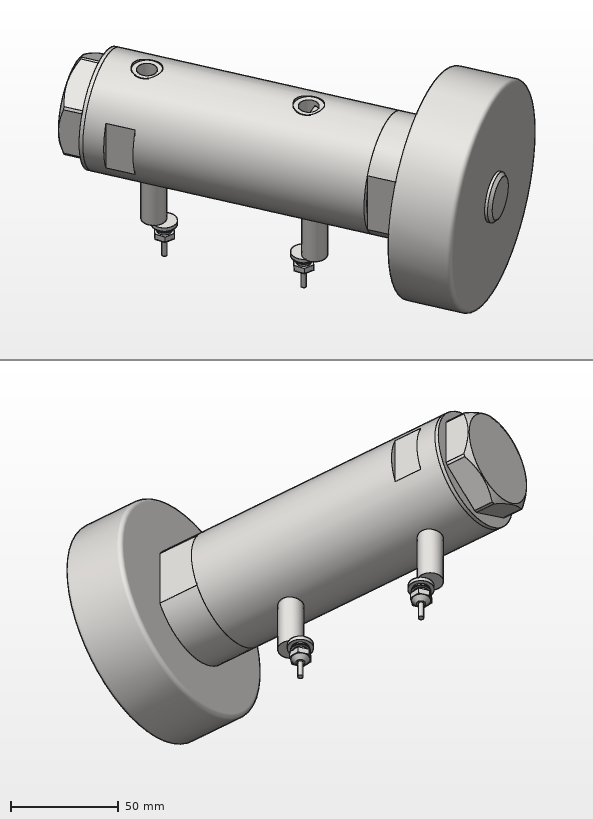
import cadquery as cq
import math


barrel_radius = 29.5
bore_radius = 19.9
overall_length = 211.2
overall_height = 132.6

hex_length = 12.9
hex_across_flats = 46.5
hex_corner_radius = 26.5
hex_face_radius = 22.8
hex_chamfer_length = 2.7
collar_length = 2.0
plug_boss_end = 38.5

housing_start = hex_length + collar_length
housing_end = 154.5
wrench_flat_start = 25.1
wrench_flat_end = 39.7
wrench_flat_half_width = 26.6

port_count = 2
first_port_x = 35.5
port_spacing = 80.5
port_radius = 4.9
spotface_radius = 7.4
spotface_depth = 1.3

rod_radius = 14.0
shoulder_radius = 26.0
shoulder_start = 117.2
neck_flat_half_width = 25.1
wheel_start = 176.0
wheel_end = 208.0
wheel_radius = 56.0
wheel_fillet = 2.1
button_radius = 12.2
button_chamfer = 1.7

first_stem_x = 38.9
stem_spacing = 80.0
stem_radius = 6.1
stem_bottom = -56.5

gland_positions = (44.1, 113.5)
disc_radius = 6.1
disc_height = 2.1
upper_neck_radius = 4.2
lower_neck_radius = 3.5
cone_base_radius = 4.5
flange_radius = 4.6
upper_neck_height = 1.3
flange_height = 0.6
lower_neck_height = 2.0
nut_height = 3.2
nut_corner_radius = 5.3
nut_turn = 54.0
cone_height = 2.1
cone_tip_radius = 2.1
cable_radius = 1.3
cable_end = wheel_radius - overall_height


def x_cylinder(radius, start, end):
    """Round bar along the X axis."""
    return cq.Workplane("YZ").workplane(offset=start).circle(radius).extrude(end - start)


def x_slab(half_width, start, end):
    """Slab centred on the X axis with flat sides facing -Y and +Y, taller than the barrel."""
    length = end - start
    slab = cq.Workplane("XY").box(length, 2 * half_width, 3 * barrel_radius)
    return slab.translate((start + length / 2, 0, 0))


def z_cylinder(x, radius, bottom, top):
    """Round bar parallel to Z, crossing the X axis line at x."""
    return cq.Workplane("XY").workplane(offset=bottom).center(x, 0).circle(radius).extrude(top - bottom)


def make_plug():
    """Hex-headed plug with a round collar and a boss that fills the start of the housing bore."""
    corner_diameter = hex_across_flats / math.cos(math.pi / 6)
    hexagon = (
        cq.Workplane("YZ")
        .transformed(rotate=(0, 0, 90))
        .polygon(6, corner_diameter)
        .extrude(hex_length)
    )
    blank = (
        cq.Workplane("XY")
        .polyline([
            (0, 0),
            (0, hex_face_radius),
            (hex_chamfer_length, hex_corner_radius),
            (hex_length, hex_corner_radius),
            (hex_length, 0),
        ])
        .close()
        .revolve(360, (0, 0, 0), (1, 0, 0))
    )
    collar = x_cylinder(barrel_radius, hex_length, housing_start)
    boss = x_cylinder(bore_radius, housing_start, plug_boss_end)
    return hexagon.intersect(blank).union(collar).union(boss)


def make_housing():
    """Barrel with a stepped bore, a wrench flat on each side and spotfaced ports on top."""
    housing = x_cylinder(barrel_radius, housing_start, housing_end)
    band = x_cylinder(2 * barrel_radius, wrench_flat_start, wrench_flat_end)
    housing = housing.cut(band.cut(x_slab(wrench_flat_half_width, wrench_flat_start, wrench_flat_end)))
    housing = housing.cut(x_cylinder(bore_radius, housing_start, shoulder_start))
    housing = housing.cut(x_cylinder(shoulder_radius, shoulder_start, housing_end))
    spotface_floor = barrel_radius - spotface_depth
    for index in range(port_count):
        port_x = first_port_x + index * port_spacing
        housing = housing.cut(z_cylinder(port_x, port_radius, 0, barrel_radius))
        housing = housing.cut(z_cylinder(port_x, spotface_radius, spotface_floor, barrel_radius))
    return housing


def make_spindle():
    """Rod, shoulder, flatted neck, wheel and end button turned as one piece."""
    rod = x_cylinder(rod_radius, plug_boss_end, shoulder_start)
    shoulder = x_cylinder(shoulder_radius, shoulder_start, housing_end)
    neck = x_cylinder(barrel_radius, housing_end, wheel_start)
    neck = neck.intersect(x_slab(neck_flat_half_width, housing_end, wheel_start))
    wheel = x_cylinder(wheel_radius, wheel_start, wheel_end).edges().fillet(wheel_fillet)
    button = x_cylinder(button_radius, wheel_end, overall_length).faces(">X").chamfer(button_chamfer)
    return rod.union(shoulder).union(neck).union(wheel).union(button)


def make_stem(x):
    """Straight stem whose top is shaped to sit on the underside of the housing."""
    barrel = x_cylinder(barrel_radius, housing_start, housing_end)
    return z_cylinder(x, stem_radius, stem_bottom, 0).cut(barrel)


def make_gland(x):
    """Cable gland: stepped round body, hex nut, cone and cable, hanging below a stem."""
    disc_bottom = stem_bottom - disc_height
    flange_top = disc_bottom - upper_neck_height
    flange_bottom = flange_top - flange_height
    nut_top = flange_bottom - lower_neck_height
    nut_bottom = nut_top - nut_height
    cone_bottom = nut_bottom - cone_height
    turned = (
        cq.Workplane("XZ")
        .polyline([
            (0, stem_bottom),
            (disc_radius, stem_bottom),
            (disc_radius, disc_bottom),
            (upper_neck_radius, disc_bottom),
            (upper_neck_radius, flange_top),
            (flange_radius, flange_top),
            (flange_radius, flange_bottom),
            (lower_neck_radius, flange_bottom),
            (lower_neck_radius, nut_bottom),
            (cone_base_radius, nut_bottom),
            (cone_tip_radius, cone_bottom),
            (cable_radius, cone_bottom),
            (cable_radius, cable_end),
            (0, cable_end),
        ])
        .close()
        .revolve(360, (0, 0, 0), (0, 1, 0))
    )
    nut = (
        cq.Workplane("XY")
        .workplane(offset=nut_bottom)
        .transformed(rotate=(0, 0, nut_turn))
        .polygon(6, 2 * nut_corner_radius)
        .extrude(nut_height)
    )
    return turned.union(nut).translate((x, 0, 0))


plug = make_plug()
housing = make_housing()
spindle = make_spindle()
stems = [make_stem(first_stem_x + index * stem_spacing) for index in range(port_count)]
glands = [make_gland(x) for x in gland_positions]

result = cq.Compound.makeCompound([
    plug.val(),
    housing.val(),
    spindle.val(),
    *[stem.val() for stem in stems],
    *[gland.val() for gland in glands],
])